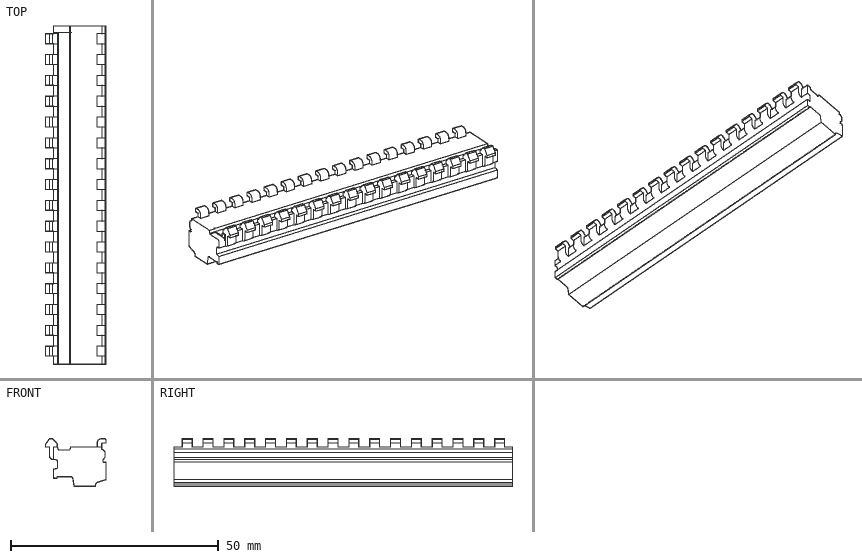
import cadquery as cq

length = 81.5
width = 14.7
height = 11.5

left_face = 1.95
notch_wall = 2.9
lip_edge = 4.15
lip_root = 4.4
notch_top = 6.4
notch_fillet = 0.5
lip_bottom = 1.95
lip_bevel_width = 0.1
lip_bevel_height = 0.4
lip_rim = 0.9
underside = 2.3

foot_left = 6.9
foot_right = 12.15
foot_side_height = 0.6
foot_neck = 6.6
foot_fillet = 0.3
foot_chamfer = 0.4

right_bottom = 1.6
right_ledge = 5.9
right_groove = 13.9
right_groove_top = 6.4
right_bulge = 14.4
right_bulge_bottom = 7.0

deck = 9.5
deck_right = 13.6
shoulder_bottom = 8.2
shoulder_top = 9.0
shoulder_radius = 1.2
groove_floor = 8.8
groove_left = 2.9
groove_right = 5.9
groove_flare = 0.25

end_notch_length = 1.6
end_notch_floor = 8.55
end_notch_radius = 0.5

clip_count = 16
clip_width = 2.45
first_clip = 1.95
last_clip = 77.2
clip_pitch = (last_clip - first_clip) / (clip_count - 1)

barb_tip = 10.1
barb_underside = 9.45
barb_slope_top = (0.8, 11.25)
barb_crown_left = 1.1
barb_crown_right = 1.8
barb_back = 10.3
leg_left = 1.0
leg_radius = left_face - leg_left

hook_left = 12.5
hook_underside = 10.4
hook_radius = height - hook_underside
hook_nose = 0.25


def extrude_along_y(outline, start, depth):
    """Extrude a closed XZ outline toward +Y from the given start."""
    return outline.close().extrude(-depth).translate((0, start, 0))


def housing():
    outline = (
        cq.Workplane("XZ")
        .moveTo(left_face, lip_bottom + lip_bevel_height)
        .lineTo(left_face + lip_bevel_width, lip_bottom)
        .lineTo(left_face + lip_rim, lip_bottom)
        .lineTo(left_face + lip_rim, underside)
        .lineTo(foot_neck - foot_fillet, underside)
        .radiusArc((foot_neck, underside - foot_fillet), foot_fillet)
        .lineTo(foot_left, 0)
        .lineTo(foot_right, 0)
        .lineTo(foot_right, foot_side_height)
        .lineTo(foot_right + foot_chamfer, foot_side_height + foot_chamfer)
        .lineTo(width, right_bottom)
        .lineTo(width, right_ledge)
        .lineTo(right_groove, right_ledge)
        .lineTo(right_groove, right_groove_top)
        .lineTo(right_bulge, right_bulge_bottom)
        .lineTo(right_bulge, shoulder_bottom)
        .radiusArc((deck_right, shoulder_top), -shoulder_radius)
        .lineTo(deck_right, deck)
        .lineTo(groove_right + groove_flare, deck)
        .lineTo(groove_right, groove_floor)
        .lineTo(groove_left + groove_flare, groove_floor)
        .lineTo(groove_left, deck)
        .lineTo(left_face, deck)
        .lineTo(left_face, notch_top)
        .lineTo(notch_wall - notch_fillet, notch_top)
        .radiusArc((notch_wall, notch_top - notch_fillet), notch_fillet)
        .lineTo(notch_wall, lip_root)
        .lineTo(left_face, lip_edge)
    )
    return extrude_along_y(outline, 0, length)


def end_notch():
    """Cutter that opens the groove through the left wall, with rounded edges."""
    r = end_notch_radius
    outline = (
        cq.Workplane("XZ")
        .moveTo(left_face, end_notch_floor - r)
        .radiusArc((left_face + r, end_notch_floor), r)
        .lineTo(groove_right, end_notch_floor)
        .lineTo(groove_right, deck - r)
        .radiusArc((groove_right + r, deck), r)
        .lineTo(left_face, deck)
    )
    return extrude_along_y(outline, length - end_notch_length, end_notch_length)


def left_clip(start):
    outline = (
        cq.Workplane("XZ")
        .moveTo(0, barb_underside)
        .lineTo(0, barb_tip)
        .lineTo(*barb_slope_top)
        .lineTo(barb_crown_left, height)
        .lineTo(barb_crown_right, height)
        .lineTo(groove_left, barb_back)
        .lineTo(groove_left, deck)
        .lineTo(left_face, deck)
        .lineTo(left_face, notch_top)
        .radiusArc((leg_left, notch_top + leg_radius), leg_radius)
        .lineTo(leg_left, barb_underside)
    )
    return extrude_along_y(outline, start, clip_width)


def right_clip(start):
    bend_x = hook_left + hook_radius
    outline = (
        cq.Workplane("XZ")
        .moveTo(hook_left, deck)
        .lineTo(hook_left, hook_underside)
        .radiusArc((bend_x, height), hook_radius)
        .lineTo(width - hook_nose, height)
        .lineTo(width, height - hook_nose)
        .lineTo(width, hook_underside)
        .lineTo(deck_right, hook_underside)
        .lineTo(deck_right, deck)
    )
    return extrude_along_y(outline, start, clip_width)


result = housing().cut(end_notch())
for station in range(clip_count):
    clip_start = first_clip + station * clip_pitch
    result = result.union(left_clip(clip_start)).union(right_clip(clip_start))